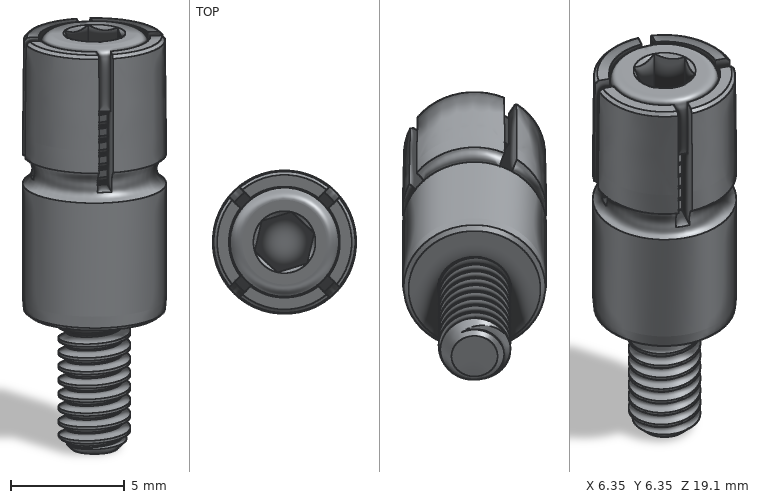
import cadquery as cq
import math

sleeve_radius = 6.35 / 2
sleeve_bottom = 6.23
sleeve_top = 18.9
bottom_taper_top = 6.93
bottom_chamfer_height = 0.17
bottom_face_radius = 2.91
tapered_end_radius = 3.12
upper_taper_bottom = 14.55
top_chamfer = 0.15
groove_center_z = 12.84
groove_width = 1.37
groove_depth = 0.42
slot_count = 4
slot_width = 0.63
slot_overrun = 0.2
slot_floor = 12.53
head_bore_radius = 2.45
shank_bore_radius = 1.62

screw_top = 19.05
head_bottom = 16.14
head_radius = 2.4
head_fillet = 0.53
hex_circumradius = 1.37
hex_depth = 1.9
hex_rotation = 17
hex_flat_radius = hex_circumradius * math.cos(math.pi / 6)
countersink_depth = hex_circumradius - hex_flat_radius

thread_radius = 1.59
root_radius = 1.22
thread_pitch = 19.05 / 30
crest_flat = 0.13
root_flat = 0.08
tip_chamfer = 0.57
lowest_crest_z = 0.82
turns_below = 3
ridge_overlap = 0.04
core_overrun = 2.29
envelope_clearance = 0.1
seam_angle = 90


def revolve_profile(profile):
    """Revolve a closed XZ outline about the Z axis."""
    return profile.revolve(360, (0, 0, 0), (0, 1, 0))


def make_sleeve_blank():
    groove_top = groove_center_z + groove_width / 2
    groove_bottom = groove_center_z - groove_width / 2
    outline = (
        cq.Workplane("XZ")
        .moveTo(shank_bore_radius, sleeve_bottom)
        .lineTo(bottom_face_radius, sleeve_bottom)
        .lineTo(tapered_end_radius, sleeve_bottom + bottom_chamfer_height)
        .lineTo(sleeve_radius, bottom_taper_top)
        .lineTo(sleeve_radius, groove_bottom)
        .threePointArc((sleeve_radius - groove_depth, groove_center_z), (sleeve_radius, groove_top))
        .lineTo(sleeve_radius, upper_taper_bottom)
        .lineTo(tapered_end_radius, sleeve_top - top_chamfer)
        .lineTo(tapered_end_radius - top_chamfer, sleeve_top)
        .lineTo(head_bore_radius, sleeve_top)
        .lineTo(head_bore_radius, head_bottom)
        .lineTo(shank_bore_radius, head_bottom)
        .close()
    )
    return revolve_profile(outline)


def make_sleeve():
    """Sleeve with equally spaced slots open at its top, midway between the X and Y axes."""
    sleeve = make_sleeve_blank()
    slot_length = sleeve_radius + slot_overrun
    slot_height = sleeve_top - slot_floor + slot_overrun
    first_angle = 180 / slot_count
    for index in range(slot_count):
        slot = (
            cq.Workplane("XY")
            .box(slot_length, slot_width, slot_height, centered=(False, True, False))
            .translate((0, 0, slot_floor))
            .rotate((0, 0, 0), (0, 0, 1), first_angle + index * 360 / slot_count)
        )
        sleeve = sleeve.cut(slot)
    return sleeve


def make_head():
    """Round head with a hexagon socket and a 45 degree countersink at the socket mouth."""
    head = (
        cq.Workplane("XY", origin=(0, 0, head_bottom))
        .circle(head_radius)
        .extrude(screw_top - head_bottom)
        .faces(">Z")
        .edges()
        .fillet(head_fillet)
    )
    socket = (
        cq.Workplane("XY", origin=(0, 0, screw_top - hex_depth))
        .polygon(6, 2 * hex_circumradius)
        .extrude(hex_depth)
        .rotate((0, 0, 0), (0, 0, 1), hex_rotation)
    )
    countersink = cq.Workplane(
        cq.Solid.makeCone(
            hex_flat_radius, hex_circumradius, countersink_depth,
            cq.Vector(0, 0, screw_top - countersink_depth),
        )
    )
    return head.cut(socket).cut(countersink)


def make_thread_ridge():
    """Right-handed helical ridge, longer than the shank at both ends and sunk into its core."""
    start_z = lowest_crest_z - turns_below * thread_pitch
    length = head_bottom - start_z + thread_pitch
    path = cq.Wire.makeHelix(thread_pitch, length, thread_radius, cq.Vector(0, 0, start_z))
    crest_half = crest_flat / 2
    base_half = (thread_pitch - root_flat) / 2
    flank_slope = (base_half - crest_half) / (thread_radius - root_radius)
    sunk_radius = root_radius - ridge_overlap
    sunk_half = base_half + flank_slope * ridge_overlap
    section = (
        cq.Workplane("XZ")
        .moveTo(sunk_radius, start_z - sunk_half)
        .lineTo(thread_radius, start_z - crest_half)
        .lineTo(thread_radius, start_z + crest_half)
        .lineTo(sunk_radius, start_z + sunk_half)
        .close()
    )
    return section.sweep(cq.Workplane(path), isFrenet=True)


def make_shank():
    """Shank threaded along its whole length, with a 45 degree tip chamfer."""
    core = (
        cq.Workplane("XY", origin=(0, 0, -core_overrun))
        .circle(root_radius)
        .extrude(head_bottom + 2 * core_overrun)
        .rotate((0, 0, 0), (0, 0, 1), seam_angle)
    )
    envelope = (
        cq.Workplane("XY")
        .circle(thread_radius + envelope_clearance)
        .extrude(head_bottom)
        .faces("<Z")
        .chamfer(tip_chamfer + envelope_clearance)
        .rotate((0, 0, 0), (0, 0, 1), seam_angle)
    )
    threaded_rod = core.union(make_thread_ridge(), clean=False)
    return threaded_rod.intersect(envelope, clean=False)


def make_screw():
    return make_shank().union(make_head(), clean=False)


sleeve = make_sleeve()
screw = make_screw()

result = cq.Compound.makeCompound([sleeve.val(), screw.val()])